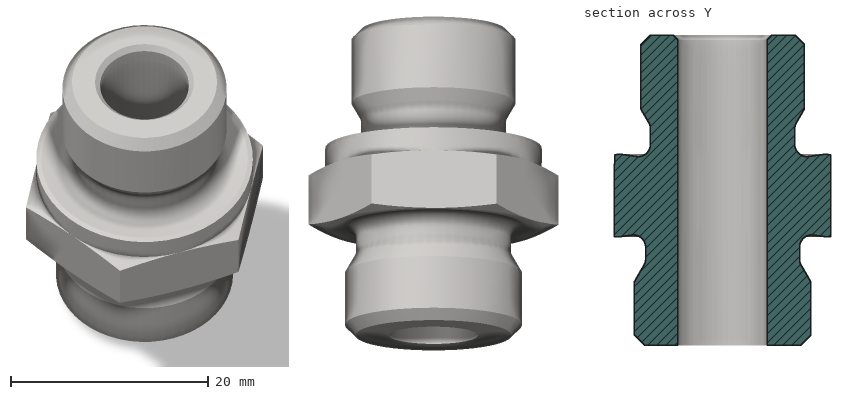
import cadquery as cq
import math

total_height = 31.5
hex_bottom = 11.0
hex_top = 16.98
rim_height = 19.45

across_flats = 22.0
hex_chamfer_angle = 15.0
rim_radius = 10.5
rim_drop = 0.1

upper_radius = 16.65 / 2
upper_neck_radius = 14.7 / 2
upper_thread_length = 7.5
upper_end_chamfer = 0.98

lower_radius = 18.0 / 2
lower_neck_radius = 15.7 / 2
lower_thread_length = 6.43
lower_end_chamfer = 1.07

undercut_radius = 1.2
runout_angle = 30.0
dish_angle = 8.0

bore_radius = 9.0 / 2
bore_chamfer = 0.5

collar_radius = across_flats / 2
collar_height = rim_height - hex_top
hex_height = hex_top - hex_bottom
hex_corner_radius = collar_radius / math.cos(math.radians(30))
hex_chamfer_height = (hex_corner_radius - collar_radius) * math.tan(math.radians(hex_chamfer_angle))


def turned_half(base_outline, stud_radius, neck_radius, stud_length, thread_length, chamfer):
    """Revolve a base and the stud that stands on it.

    The (radius, height) points of base_outline run from the axis up to the sealing rim,
    which lies at height 0. Inside the rim a shallow cone falls inward to a concave arc
    that joins it to the neck.
    """
    runout = math.radians(runout_angle)
    dish = math.radians(dish_angle)
    seat_radius, seat_height = base_outline[-1]

    arc_radius = neck_radius + undercut_radius
    root_radius = arc_radius + undercut_radius * math.sin(dish)
    root_height = seat_height - (seat_radius - root_radius) * math.tan(dish)
    arc_height = root_height + undercut_radius * math.cos(dish)
    middle = (math.pi / 2 + dish) / 2
    arc_middle = (
        arc_radius - undercut_radius * math.cos(middle),
        arc_height - undercut_radius * math.sin(middle),
    )

    thread_start = stud_length - thread_length
    corner_height = thread_start - (stud_radius - neck_radius) / math.tan(runout)
    blend_length = undercut_radius * math.tan(runout / 2)
    blend_start = corner_height - blend_length
    blend_middle = (
        neck_radius + undercut_radius * (1 - math.cos(runout / 2)),
        blend_start + undercut_radius * math.sin(runout / 2),
    )
    blend_end = (
        neck_radius + undercut_radius * (1 - math.cos(runout)),
        blend_start + undercut_radius * math.sin(runout),
    )

    return (
        cq.Workplane("XZ")
        .polyline(base_outline)
        .lineTo(root_radius, root_height)
        .threePointArc(arc_middle, (neck_radius, arc_height))
        .lineTo(neck_radius, blend_start)
        .threePointArc(blend_middle, blend_end)
        .lineTo(stud_radius, thread_start)
        .lineTo(stud_radius, stud_length - chamfer)
        .lineTo(stud_radius - chamfer, stud_length)
        .lineTo(0, stud_length)
        .close()
        .revolve(360, (0, 0, 0), (0, 1, 0))
    )


collar_outline = [
    (0, -collar_height),
    (collar_radius, -collar_height),
    (collar_radius, -rim_drop),
    (rim_radius, 0),
]
upper_half = turned_half(
    collar_outline,
    upper_radius,
    upper_neck_radius,
    total_height - rim_height,
    upper_thread_length,
    upper_end_chamfer,
).translate((0, 0, rim_height))

hex_outline = [
    (0, -hex_height),
    (collar_radius, -hex_height),
    (hex_corner_radius, -hex_height + hex_chamfer_height),
    (hex_corner_radius, -hex_chamfer_height),
    (collar_radius, 0),
    (rim_radius, 0),
]
lower_half = (
    turned_half(
        hex_outline,
        lower_radius,
        lower_neck_radius,
        hex_bottom,
        lower_thread_length,
        lower_end_chamfer,
    )
    .rotate((0, 0, 0), (1, 0, 0), 180)
    .translate((0, 0, hex_bottom))
)

hex_envelope = (
    cq.Workplane("XY")
    .polygon(6, 2 * hex_corner_radius)
    .extrude(hex_top)
    .rotate((0, 0, 0), (0, 0, 1), 30)
)
body = upper_half.union(lower_half.intersect(hex_envelope))

bore_outline = [
    (0, 0),
    (bore_radius, 0),
    (bore_radius, total_height - bore_chamfer),
    (bore_radius + bore_chamfer, total_height),
    (0, total_height),
]
bore = cq.Workplane("XZ").polyline(bore_outline).close().revolve(360, (0, 0, 0), (0, 1, 0))

result = body.cut(bore)